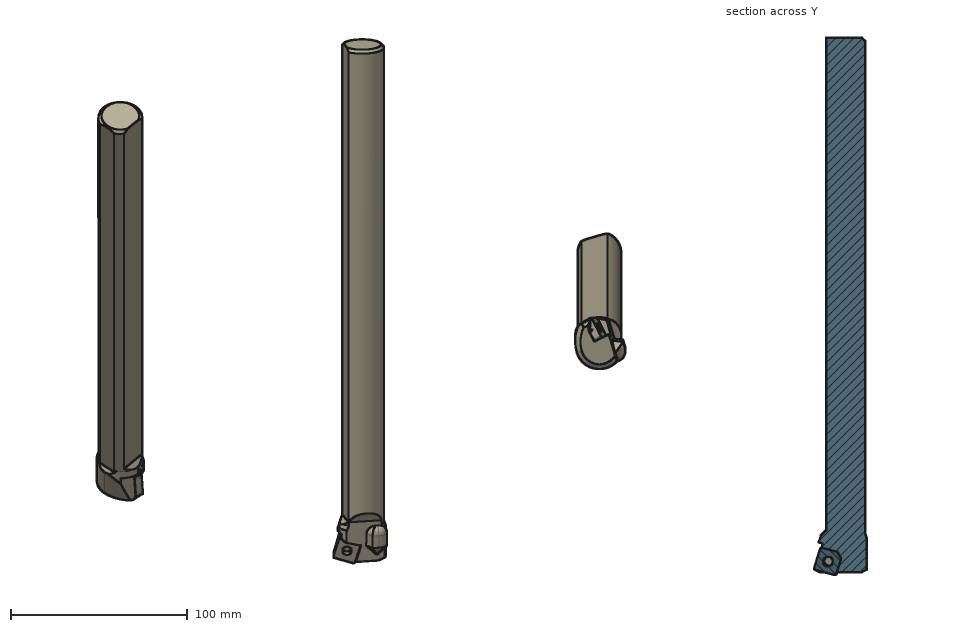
import cadquery as cq
import math


bar_top = 302.5
shank_radius = 12.5
end_chamfer = 1.8
side_flat = 9.7
front_flat = 11.3
side_flat_bottom = 24.0
front_flat_bottom = 21.0

head_radius = 13.5
flare_radius = 22.5
head_reach = 16.0
nose_chamfer_height = 1.5
nose_chamfer_width = 3.0
cone_angle = 18.0
head_top = 22.0

pocket_floor_end = 7.0
pocket_floor_top = 8.2
pocket_run_out_start = 24.0
pocket_run_out_middle = (9.0, 26.0)
pocket_run_out_end = 29.8

clamp_left = -12.8
clamp_top = 13.0
clamp_crown_right = -3.0
clamp_base_right = 0.0
clamp_low = 4.0
clamp_high = 21.0
clamp_bevel = 5.5
clamp_round = 4.5
clamp_corner = 6.0
clamp_base = 6.0

insert_side = 12.8
insert_thickness = 5.0
insert_corner = 1.0
insert_hole = 5.2
insert_turn = 15.0
cutting_corner = (17.0, 0.3, 1.5)
rake_lean_x = 0.24
rake_lean_z = -0.14
flank_setback = 0.5
flank_length = 15.2

big = 61.0


def insert_frame():
    """Rake face frame: corner at the origin, square in +X and +Y, normal out of the rake face."""
    turn = math.radians(insert_turn)
    normal = cq.Vector(rake_lean_x, 1, rake_lean_z)
    end_edge = cq.Vector(-math.cos(turn), 0, -math.sin(turn))
    end_edge = end_edge - normal * (end_edge.dot(normal) / normal.dot(normal))
    return cq.Workplane(cq.Plane(origin=cutting_corner, xDir=end_edge, normal=normal))


def flat_cutter(flat_distance, flat_bottom):
    """Material beyond a flat on the +X side, with a 45 degree run-out at its lower end."""
    return (
        cq.Workplane("XZ")
        .moveTo(flat_distance, flat_bottom)
        .lineTo(head_radius, flat_bottom - (head_radius - flat_distance))
        .lineTo(head_radius, bar_top)
        .lineTo(flat_distance, bar_top)
        .close()
        .extrude(shank_radius, both=True)
    )


def make_shank():
    """Round rod reaching down into the head."""
    shank = cq.Workplane("XY").workplane(offset=pocket_floor_end).circle(shank_radius)
    return shank.extrude(bar_top - pocket_floor_end).faces(">Z").chamfer(end_chamfer)


def flare_point(x):
    """Point of the flare arc at a given X."""
    return (x, flare_radius - head_radius - math.sqrt(flare_radius**2 - x**2))


def make_head():
    """Flared prism trimmed by a cone that blends it into the shank."""
    diagonal = head_radius * math.sqrt(0.5)
    outline = (
        cq.Workplane("XY")
        .moveTo(0, -head_radius)
        .threePointArc(flare_point(head_reach / 2), flare_point(head_reach))
        .lineTo(head_reach, 0)
        .lineTo(head_radius, 0)
        .threePointArc((diagonal, diagonal), (0, head_radius))
        .threePointArc((-head_radius, 0), (0, -head_radius))
        .close()
    )
    head = outline.extrude(head_top)
    head = head.faces("<Z").chamfer(nose_chamfer_height, nose_chamfer_width)
    cone_radius = shank_radius + head_top * math.tan(math.radians(cone_angle))
    envelope = (
        cq.Workplane("XZ")
        .polyline([(0, 0), (cone_radius, 0), (shank_radius, head_top), (0, head_top)])
        .close()
        .revolve(360, (0, 0, 0), (0, 1, 0))
    )
    return head.intersect(envelope)


def chip_pocket():
    """Space above the sloping floor, with a concave run-out into the shank."""
    return (
        cq.Workplane("YZ")
        .moveTo(pocket_floor_end, 0)
        .lineTo(pocket_floor_top, pocket_run_out_start)
        .threePointArc(pocket_run_out_middle, (shank_radius, pocket_run_out_end))
        .lineTo(big, pocket_run_out_end)
        .lineTo(big, 0)
        .close()
        .extrude(big, both=True)
    )


def make_clamp():
    """Rounded block whose right end slopes down to the pocket floor."""
    block = (
        cq.Workplane("XY")
        .workplane(offset=clamp_low)
        .polyline([
            (clamp_left, clamp_base),
            (clamp_left, clamp_top),
            (clamp_crown_right, clamp_top),
            (clamp_base_right, clamp_base),
        ])
        .close()
        .extrude(clamp_high - clamp_low)
        .edges("|Z and <X and >Y")
        .fillet(clamp_corner)
    )
    block = block.faces(">Z").edges("not <Y").fillet(clamp_round)
    return block.faces("<Z").edges("not <Y").chamfer(clamp_bevel)


def insert_block(height):
    """Square of the insert, extruded from the rake face; a negative height goes into the head."""
    return insert_frame().rect(insert_side, insert_side, centered=False).extrude(height)


def flank_cutter():
    """Slanted cut that sets the head back behind the side edge of the insert."""
    return (
        insert_frame()
        .moveTo(-big, -big)
        .lineTo(flank_setback, -big)
        .lineTo(flank_setback, flank_length)
        .lineTo(-big, flank_length)
        .close()
        .extrude(big, both=True)
    )


def make_bar():
    """Shank, head and clamp in one solid, with a recess that fits the insert."""
    bar = make_shank().union(make_head())
    bar = bar.cut(flat_cutter(side_flat, side_flat_bottom))
    bar = bar.cut(flat_cutter(front_flat, front_flat_bottom).rotate((0, 0, 0), (0, 0, 1), -90))
    bar = bar.cut(flank_cutter()).cut(chip_pocket())
    bar = bar.union(make_clamp())
    return bar.cut(insert_block(-insert_thickness)).cut(insert_block(big))


def make_insert():
    """Square insert with rounded corners and a central hole."""
    half = insert_side / 2
    corners = cq.selectors.ParallelDirSelector(insert_frame().plane.zDir)
    hole = insert_frame().center(half, half).circle(insert_hole / 2).extrude(-insert_thickness)
    return insert_block(-insert_thickness).edges(corners).fillet(insert_corner).cut(hole)


bar = make_bar()
insert = make_insert()
result = cq.Compound.makeCompound([bar.solids().val(), insert.solids().val()])